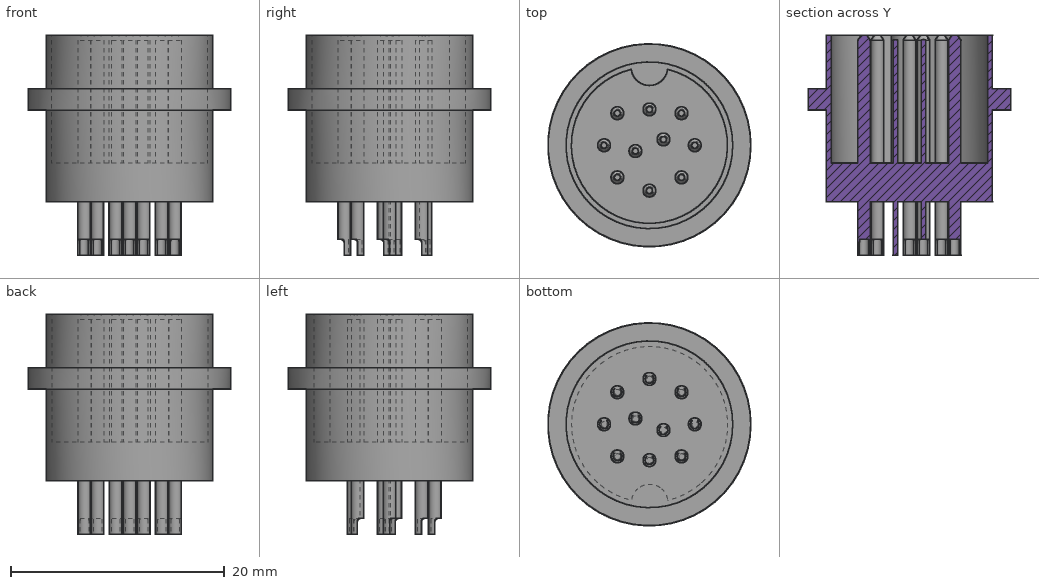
import cadquery as cq
import math

total_height = 20.6

shell_diameter = 15.6
bore_diameter = 14.6
bore_depth = 11.95
lead_length = 5.0
flange_diameter = 19.0
flange_thickness = 2.0
flange_below_rim = 5.0

key_radius = 1.7

pin_diameter = 1.2
tip_diameter = 0.55
tip_height = 0.45
pin_ring_radius = 4.25
key_pin_radius = 3.35
inner_pin_radius = 1.42
inner_pin_angle = 22.5
ring_pin_spacing = 45
key_angle = 90

cup_length = 1.5
cup_diameter = 0.8
cup_corner_radius = 0.3


def cylinder(diameter, bottom, height):
    return cq.Workplane("XY").workplane(offset=bottom).circle(diameter / 2).extrude(height)


def polar_point(radius, angle):
    angle_radians = math.radians(angle)
    return (radius * math.cos(angle_radians), radius * math.sin(angle_radians))


def pin_positions():
    outer = []
    for angle in range(0, 360, ring_pin_spacing):
        radius = key_pin_radius if angle == key_angle else pin_ring_radius
        outer.append(polar_point(radius, angle))
    inner = [polar_point(inner_pin_radius, inner_pin_angle + turn) for turn in (0, 180)]
    return outer + inner


def make_shell():
    body = cylinder(shell_diameter, lead_length, total_height - lead_length)
    flange_bottom = total_height - flange_below_rim - flange_thickness
    flange = cylinder(flange_diameter, flange_bottom, flange_thickness)
    bore_floor = total_height - bore_depth
    bore = cylinder(bore_diameter, bore_floor, bore_depth)
    key = cylinder(2 * key_radius, bore_floor, bore_depth).translate((0, bore_diameter / 2, 0))
    return body.union(flange).cut(bore.cut(key))


def make_pin():
    profile = (
        cq.Workplane("XZ")
        .lineTo(pin_diameter / 2, 0)
        .lineTo(pin_diameter / 2, total_height - tip_height)
        .lineTo(tip_diameter / 2, total_height)
        .lineTo(0, total_height)
        .close()
    )
    pin = profile.revolve(360, (0, 0, 0), (0, 1, 0))

    half_cut = (
        cq.Workplane("XY")
        .box(pin_diameter, pin_diameter, cup_length, centered=(True, False, False))
        .translate((0, -pin_diameter, 0))
        .edges(">Y and >Z")
        .fillet(cup_corner_radius)
    )
    return pin.cut(half_cut).cut(cylinder(cup_diameter, 0, cup_length))


result = make_shell()
pin = make_pin()
for x, y in pin_positions():
    result = result.union(pin.translate((x, y, 0)))